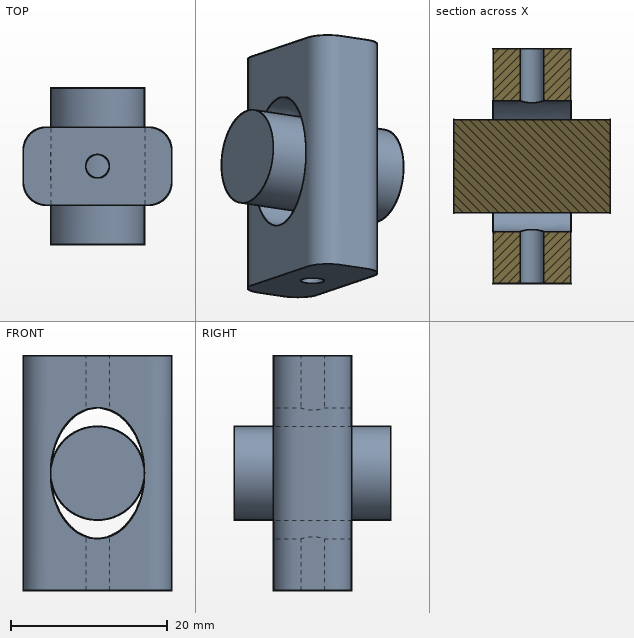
import cadquery as cq

block_width = 19.0
block_depth = 10.0
block_height = 30.0
corner_radius = 3.0

pin_diameter = 12.0
pin_length = 20.0

window_width = pin_diameter
window_height = 16.7

bore_diameter = 3.0


def centred_cylinder(plane, diameter, length):
    """Cylinder normal to the given plane, centred on the origin."""
    return cq.Workplane(plane).workplane(offset=-length / 2).circle(diameter / 2).extrude(length)


def make_block():
    """Rounded block with the elliptical window and the vertical bore cut through it."""
    body = cq.Workplane("XY").box(block_width, block_depth, block_height)
    body = body.edges("|Z").fillet(corner_radius)
    window = (
        cq.Workplane("XZ")
        .workplane(offset=-block_depth / 2)
        .ellipse(window_width / 2, window_height / 2)
        .extrude(block_depth)
    )
    bore = centred_cylinder("XY", bore_diameter, block_height)
    return body.cut(window).cut(bore)


block = make_block()
cross_pin = centred_cylinder("XZ", pin_diameter, pin_length)

result = cq.Compound.makeCompound([block.val(), cross_pin.val()])